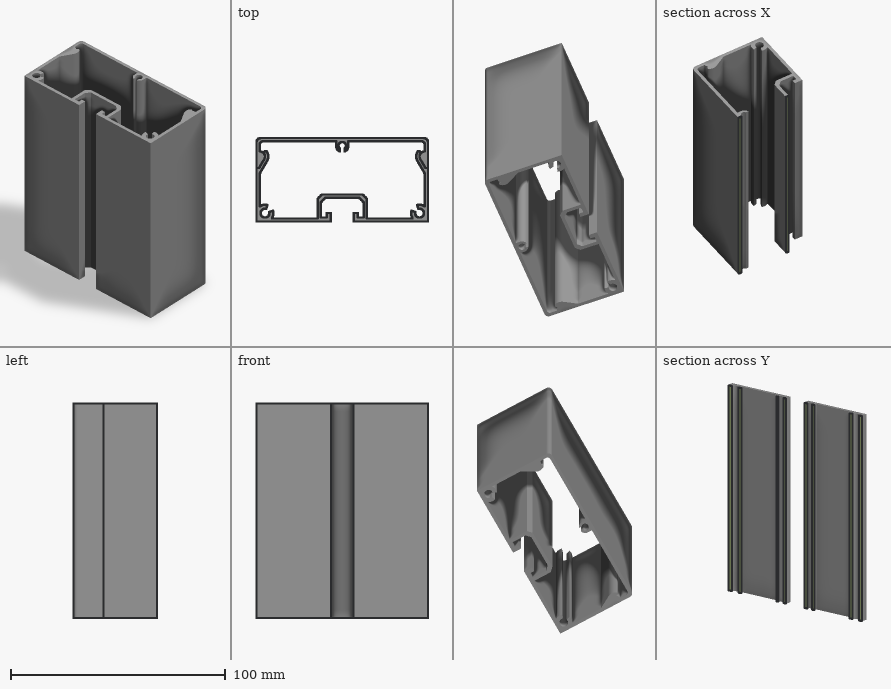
import cadquery as cq
import math


WIDTH = 80.0
DEPTH = 39.0
LENGTH = 100.0
WALL = 1.6
HALF_WIDTH = WIDTH / 2
WALL_FACE = HALF_WIDTH - WALL

OUTER_CORNER_RADIUS = 2.0
INNER_CORNER_RADIUS = 1.5
SEAM_Y = 25.0

BUMP_Y = 30.4
BUMP_RADIUS = 2.4
ARM_THICKNESS = WALL
ARM_TILT = math.radians(30)
TIP_ANGLE = math.radians(32)
ARM_RADIUS = BUMP_RADIUS + ARM_THICKNESS

COVER_PORT_Y = 35.4
COVER_PORT_BORE_RADIUS = 1.7
COVER_PORT_RADIUS = 2.9
COVER_PORT_SLOT = 1.9

CORNER_PORT_INSET = 4.0
CORNER_PORT_BORE_RADIUS = 2.0
CORNER_PORT_RADIUS = CORNER_PORT_INSET
CORNER_PORT_MOUTH = math.radians(56)

CHANNEL_WIDTH = 23.0
CHANNEL_DEPTH = 12.7
CHANNEL_CHAMFER = 2.0
CHANNEL_MOUTH = 10.6
CHANNEL_FLOOR = 2.0
LIP_THICKNESS = 2.0
LIP_HEIGHT = 4.1


def block(x_min, x_max, y_min, y_max):
    """Full-length bar with a rectangular section."""
    return (
        cq.Workplane("XY")
        .center((x_min + x_max) / 2, (y_min + y_max) / 2)
        .rect(x_max - x_min, y_max - y_min)
        .extrude(LENGTH)
    )


def rod(x, y, radius):
    """Full-length round bar."""
    return cq.Workplane("XY").center(x, y).circle(radius).extrude(LENGTH)


def both_sides(half):
    """Join a right-hand shape with its mirror image."""
    return half.union(half.mirror("YZ"))


def around_bump(radius, angle):
    """Point at a radius and angle about the centre of the right-hand bump.

    The angle is measured from the direction that points to the interior.
    """
    return (WALL_FACE - radius * math.cos(angle), BUMP_Y + radius * math.sin(angle))


def seam_corner():
    """Point where the straight flank of the bump reaches the seam."""
    x, y = around_bump(BUMP_RADIUS, -ARM_TILT)
    return (x + (y - SEAM_Y) * math.tan(ARM_TILT), SEAM_Y)


def snap_bump():
    """Right-hand bump of the cover, with the wall behind it."""
    return (
        cq.Workplane("XY")
        .moveTo(HALF_WIDTH, SEAM_Y)
        .lineTo(*seam_corner())
        .lineTo(*around_bump(BUMP_RADIUS, -ARM_TILT))
        .threePointArc(around_bump(BUMP_RADIUS, 0), around_bump(BUMP_RADIUS, math.pi / 2))
        .lineTo(HALF_WIDTH, BUMP_Y + BUMP_RADIUS)
        .close()
        .extrude(LENGTH)
    )


def spring_arm():
    """Right-hand arm of the base, which follows the bump and ends in a round tip."""
    tip_centre = around_bump(BUMP_RADIUS + ARM_THICKNESS / 2, TIP_ANGLE)
    tip_end = (
        tip_centre[0] + ARM_THICKNESS / 2 * math.sin(TIP_ANGLE),
        tip_centre[1] + ARM_THICKNESS / 2 * math.cos(TIP_ANGLE),
    )
    foot_y = BUMP_Y - ARM_RADIUS / math.sin(ARM_TILT)
    return (
        cq.Workplane("XY")
        .moveTo(*seam_corner())
        .lineTo(*around_bump(BUMP_RADIUS, -ARM_TILT))
        .threePointArc(around_bump(BUMP_RADIUS, 0), around_bump(BUMP_RADIUS, TIP_ANGLE))
        .threePointArc(tip_end, around_bump(ARM_RADIUS, TIP_ANGLE))
        .threePointArc(around_bump(ARM_RADIUS, 0), around_bump(ARM_RADIUS, -ARM_TILT))
        .lineTo(WALL_FACE, foot_y)
        .close()
        .extrude(LENGTH)
    )


def cover_shell():
    """Top wall with rounded corners and the short side walls down to the bumps."""
    outside = block(-HALF_WIDTH, HALF_WIDTH, BUMP_Y, DEPTH)
    outside = outside.edges("|Z and >Y").fillet(OUTER_CORNER_RADIUS)
    inside = block(-WALL_FACE, WALL_FACE, BUMP_Y, DEPTH - WALL)
    inside = inside.edges("|Z and >Y").fillet(INNER_CORNER_RADIUS)
    return outside.cut(inside)


def make_cover():
    stem = block(-COVER_PORT_RADIUS, COVER_PORT_RADIUS, COVER_PORT_Y, DEPTH - WALL / 2)
    slot = block(
        -COVER_PORT_SLOT / 2, COVER_PORT_SLOT / 2, COVER_PORT_Y - COVER_PORT_RADIUS, COVER_PORT_Y
    )
    return (
        cover_shell()
        .union(both_sides(snap_bump()))
        .union(stem)
        .union(rod(0, COVER_PORT_Y, COVER_PORT_RADIUS))
        .cut(rod(0, COVER_PORT_Y, COVER_PORT_BORE_RADIUS))
        .cut(slot)
    )


def add_corner_port(half_base):
    """Right-hand screw port, opening diagonally toward the interior."""
    x = HALF_WIDTH - CORNER_PORT_INSET
    y = CORNER_PORT_INSET
    diagonal = math.radians(135)
    reach = 2 * CORNER_PORT_RADIUS
    mouth = (
        cq.Workplane("XY")
        .moveTo(x, y)
        .lineTo(
            x + reach * math.cos(diagonal - CORNER_PORT_MOUTH / 2),
            y + reach * math.sin(diagonal - CORNER_PORT_MOUTH / 2),
        )
        .lineTo(
            x + reach * math.cos(diagonal + CORNER_PORT_MOUTH / 2),
            y + reach * math.sin(diagonal + CORNER_PORT_MOUTH / 2),
        )
        .close()
        .extrude(LENGTH)
    )
    corner = block(x, HALF_WIDTH, 0, y)
    port = rod(x, y, CORNER_PORT_RADIUS).union(corner).cut(mouth)
    return half_base.union(port).cut(rod(x, y, CORNER_PORT_BORE_RADIUS))


def channel():
    """Chamfered box around the mounting channel, with its lips and open mouth."""
    half_outer = CHANNEL_WIDTH / 2
    half_inner = half_outer - WALL
    half_mouth = CHANNEL_MOUTH / 2
    outside = block(-half_outer, half_outer, 0, CHANNEL_DEPTH)
    outside = outside.edges("|Z and >Y").chamfer(CHANNEL_CHAMFER)
    inside = block(-half_inner, half_inner, CHANNEL_FLOOR, CHANNEL_DEPTH - WALL)
    inside = inside.edges("|Z and >Y").chamfer(CHANNEL_CHAMFER)
    lip = block(half_mouth, half_mouth + LIP_THICKNESS, 0, LIP_HEIGHT)
    mouth = block(-half_mouth, half_mouth, 0, LIP_HEIGHT)
    return outside.cut(inside).cut(mouth).union(both_sides(lip))


def make_base():
    floor = block(CHANNEL_WIDTH / 2 - WALL, HALF_WIDTH, 0, WALL)
    side_wall = block(WALL_FACE, HALF_WIDTH, 0, SEAM_Y)
    half_base = floor.union(side_wall).union(spring_arm())
    half_base = add_corner_port(half_base)
    return channel().union(both_sides(half_base))


base = make_base()
cover = make_cover()

result = cq.Compound.makeCompound([base.solids().val(), cover.solids().val()])